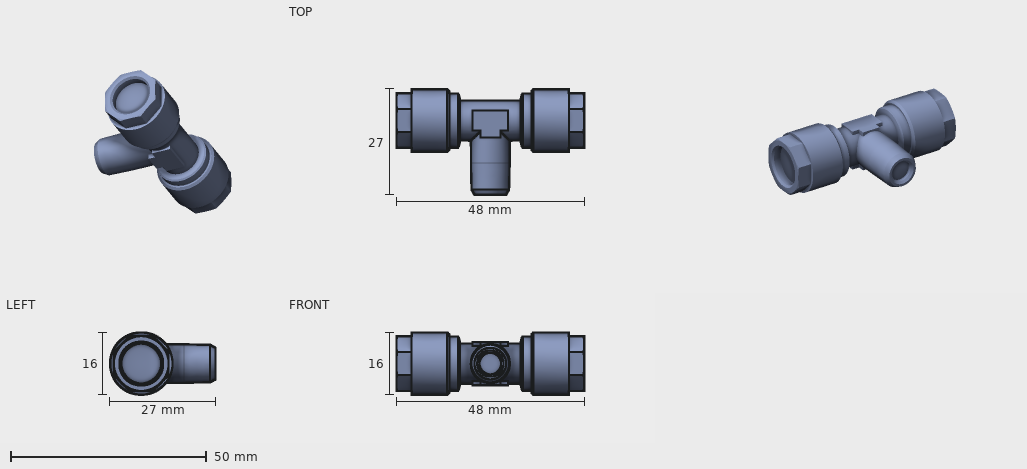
import cadquery as cq
import math

overall_length = 48.0
half_length = overall_length / 2
run_diameter = 10.3

nut_across_flats = 14.0
nut_length = 3.95
nut_sides = 8
nut_chamfer_angle = 20.0
collar_diameter = 16.0
collar_length = 9.6
collar_chamfer = 0.6
ring_diameter = 13.9
ring_length = 2.45
ring_chamfer_length = 0.3
ring_chamfer_depth = 0.45
ring_cone_length = 0.35

socket_diameter = 10.2
socket_mouth_diameter = 11.25
socket_depth = 2.5
socket_chamfer = (socket_mouth_diameter - socket_diameter) / 2

branch_diameter = 10.0
overall_depth = 27.0
branch_reach = overall_depth - collar_diameter / 2
taper_start = 10.85
taper_end = 17.55
taper_end_diameter = 9.65
tip_diameter = 8.05
branch_bore_diameter = 5.5
branch_mouth_diameter = 6.7
branch_bore_depth = 1.45
branch_bore_chamfer = (branch_mouth_diameter - branch_bore_diameter) / 2

pad_height = 11.1
pad_width = 9.1
pad_depth = 5.1
pad_stem_width = 5.1
pad_stem_reach = 4.35


def turned_on_x(outline):
    """Revolve an (x, radius) outline about the X axis."""
    return cq.Workplane("XY").polyline(outline).close().revolve(360, (0, 0), (1, 0))


def turned_on_branch(outline):
    """Revolve a (distance, radius) outline about the -Y branch axis."""
    points = [(radius, -distance) for distance, radius in outline]
    return cq.Workplane("XY").polyline(points).close().revolve(360, (0, 0), (0, 1))


def make_nut():
    """Octagonal nut with its outer corners chamfered down to the flats."""
    corner_diameter = nut_across_flats / math.cos(math.pi / nut_sides)
    corner_radius = corner_diameter / 2
    flat_radius = nut_across_flats / 2
    chamfer_length = (corner_radius - flat_radius) * math.tan(math.radians(nut_chamfer_angle))
    inner_x = half_length - nut_length
    prism = (
        cq.Workplane("YZ", origin=(inner_x, 0, 0))
        .transformed(rotate=(0, 0, 180 / nut_sides))
        .polygon(nut_sides, corner_diameter)
        .extrude(nut_length)
    )
    envelope = turned_on_x([
        (inner_x, 0),
        (inner_x, corner_radius),
        (half_length - chamfer_length, corner_radius),
        (half_length, flat_radius),
        (half_length, 0),
    ])
    return prism.intersect(envelope)


def make_coupling():
    """Coupling on the +X end, without its socket."""
    collar_outer_x = half_length - nut_length
    collar_inner_x = collar_outer_x - collar_length
    ring_inner_x = collar_inner_x - ring_length
    cone_inner_x = ring_inner_x - ring_cone_length
    collar_radius = collar_diameter / 2
    ring_radius = ring_diameter / 2
    sleeve = turned_on_x([
        (cone_inner_x, 0),
        (cone_inner_x, run_diameter / 2),
        (ring_inner_x, ring_radius - ring_chamfer_depth),
        (ring_inner_x + ring_chamfer_length, ring_radius),
        (collar_inner_x, ring_radius),
        (collar_inner_x, collar_radius - collar_chamfer),
        (collar_inner_x + collar_chamfer, collar_radius),
        (collar_outer_x, collar_radius),
        (collar_outer_x, 0),
    ])
    return sleeve.union(make_nut())


def make_socket():
    """Blind socket with a chamfered mouth in the +X end."""
    floor_x = half_length - socket_depth
    return turned_on_x([
        (floor_x, 0),
        (floor_x, socket_diameter / 2),
        (half_length - socket_chamfer, socket_diameter / 2),
        (half_length, socket_mouth_diameter / 2),
        (half_length, 0),
    ])


def make_branch():
    """Branch with a tapered length and a chamfered tip."""
    return turned_on_branch([
        (0, 0),
        (0, branch_diameter / 2),
        (taper_start, branch_diameter / 2),
        (taper_end, taper_end_diameter / 2),
        (branch_reach, tip_diameter / 2),
        (branch_reach, 0),
    ])


def make_branch_bore():
    """Blind bore with a chamfered mouth in the branch tip."""
    floor = branch_reach - branch_bore_depth
    return turned_on_branch([
        (floor, 0),
        (floor, branch_bore_diameter / 2),
        (branch_reach - branch_bore_chamfer, branch_bore_diameter / 2),
        (branch_reach, branch_mouth_diameter / 2),
        (branch_reach, 0),
    ])


def make_pads():
    """T-shaped block through the junction; its two ends form the pads."""
    bar = cq.Workplane("XY").box(pad_width, pad_depth, pad_height)
    stem = (
        cq.Workplane("XY")
        .box(pad_stem_width, pad_stem_reach, pad_height)
        .translate((0, -pad_stem_reach / 2, 0))
    )
    return bar.union(stem)


run_half_length = half_length - nut_length - collar_length
body = cq.Workplane("YZ").circle(run_diameter / 2).extrude(run_half_length, both=True)
body = body.union(make_branch()).union(make_pads())

coupling = make_coupling()
socket = make_socket()
body = body.union(coupling).union(coupling.mirror("YZ"))
body = body.cut(socket).cut(socket.mirror("YZ"))

result = body.cut(make_branch_bore())